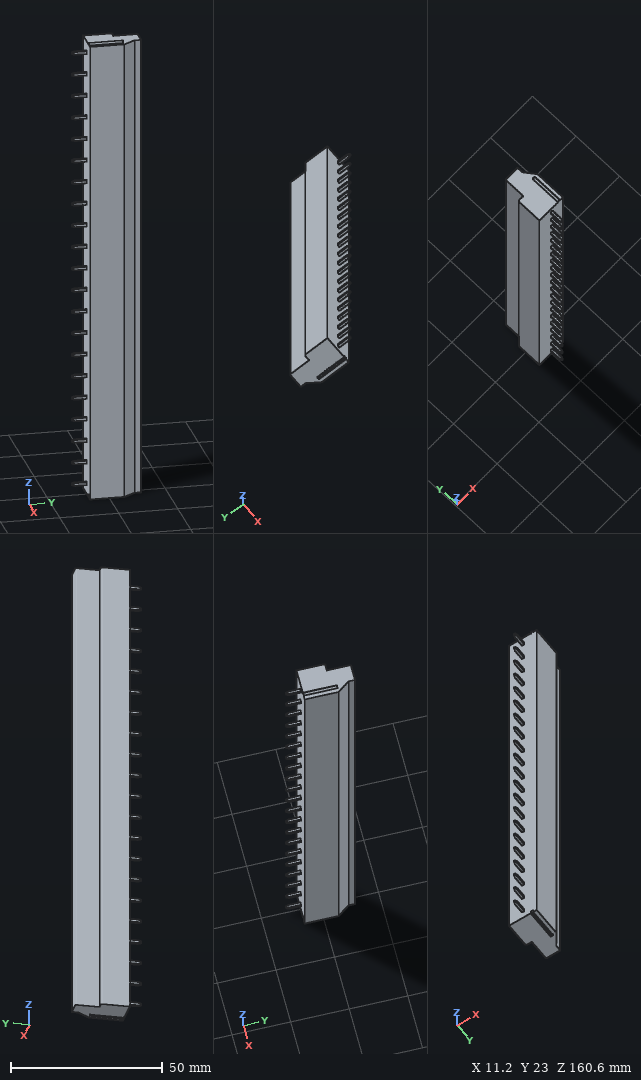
import cadquery as cq

pin_count = 21
total_length = 160.6
total_depth = 23.0
rib_height = 0.6
body_length = total_length - rib_height
pitch = body_length / pin_count

body_width = 11.2
body_depth = 18.0
ledge_width = 2.4
ledge_depth = 9.8
head_right = 8.2
slope_top = 15.7
slope_bottom = 11.5
ledge_radius = 0.6
head_left_radius = 0.5
head_right_radius = 0.2

rib_center = 9.3
rib_width = 1.0
rib_run = 11.5
groove_depth = 1.0
crest_radius = 0.3

pin_length = total_depth - body_depth
pin_size = 1.0
pin_center = 5.8
tip_length = 1.0
tip_size = 0.5


def make_body():
    """Stepped housing profile extruded along Z, with rounded long edges."""
    outline = [
        (0, 0),
        (body_width, 0),
        (body_width, slope_bottom),
        (head_right, slope_top),
        (head_right, body_depth),
        (ledge_width, body_depth),
        (ledge_width, ledge_depth),
        (0, ledge_depth),
    ]
    body = cq.Workplane("XY").polyline(outline).close().extrude(body_length)
    rounded_corners = [
        (0, ledge_depth, ledge_radius),
        (ledge_width, body_depth, head_left_radius),
        (head_right, body_depth, head_right_radius),
    ]
    for x, y, radius in rounded_corners:
        edge = cq.selectors.NearestToPointSelector((x, y, body_length / 2))
        body = body.edges("|Z").edges(edge).fillet(radius)
    return body


def make_key(base_z, height):
    """Straight bar standing on base_z and running along Y from the pin face."""
    corner = (rib_center - rib_width / 2, 0, base_z)
    return cq.Workplane("XY", origin=corner).box(rib_width, rib_run, height, centered=False)


def make_pin(z):
    """Square pin pointing toward -Y, with a tapered tip."""
    shank_length = pin_length - tip_length
    shank = (
        cq.Workplane("XZ", origin=(pin_center, 0, z))
        .rect(pin_size, pin_size)
        .extrude(shank_length)
    )
    tip = (
        cq.Workplane("XZ", origin=(pin_center, -shank_length, z))
        .rect(pin_size, pin_size)
        .workplane(offset=tip_length)
        .rect(tip_size, tip_size)
        .loft()
    )
    return shank.union(tip)


groove = make_key(0, groove_depth)
rib = make_key(body_length, rib_height).edges("|Y and >Z").fillet(crest_radius)
result = make_body().cut(groove).union(rib)
for index in range(pin_count):
    result = result.union(make_pin((index + 0.5) * pitch))